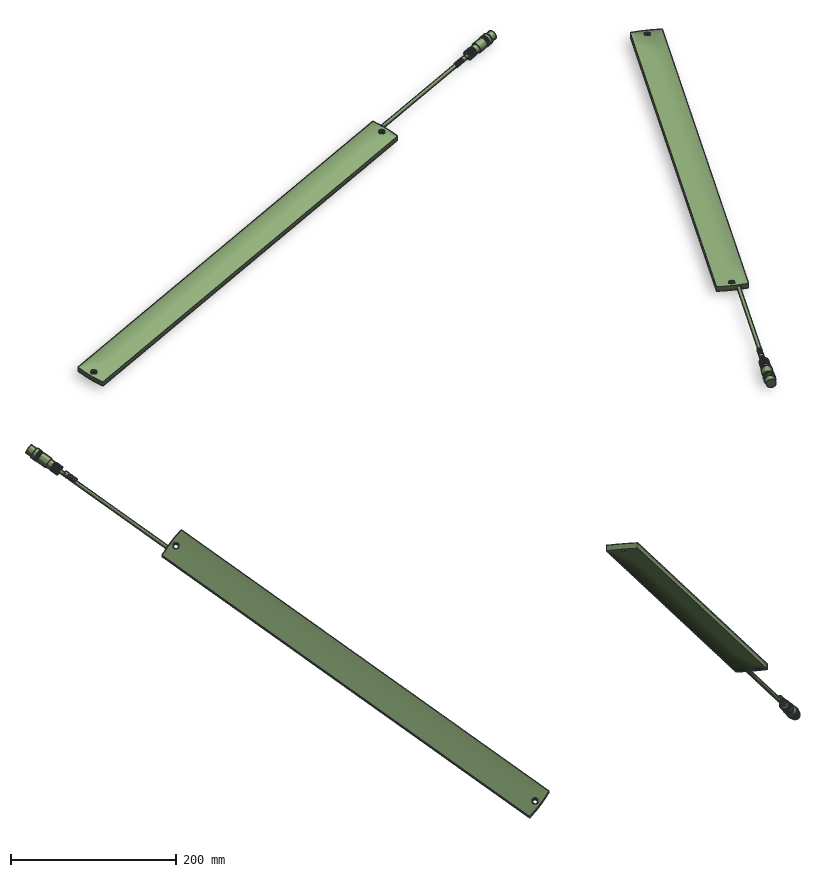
import cadquery as cq

plate_width = 40.0
plate_length = 555.0
plate_thickness = 7.0
corner_radius = 1.0
end_bulge = 1.15
hole_diameter = 6.0
counterbore_diameter = 8.0
counterbore_depth = 3.0
hole_inset = 8.0

overall_length = 763.0
cable_x = -7.25
cable_z = -0.4
cable_diameter = 4.5
joint_overlap = 8.0
rear_y = plate_length / 2
tip_y = overall_length - plate_length / 2

sleeve_diameter = 6.0
sleeve_core_diameter = 5.0
sleeve_side_shift = 1.15
sleeve_lift = 1.9
sleeve_to_tip = 53.5
sleeve_collar_length = 5.0
sleeve_rib_count = 3
sleeve_rib_pitch = 4.0

connector_sections = [
    (8.5, 12.0),
    (4.5, 14.5),
    (1.15, 12.0),
    (1.5, 14.5),
    (1.5, 11.0),
    (13.0, 14.0),
    (6.0, 11.5),
]
relief_rib_count = 4
relief_rib_pitch = 2.7
relief_diameter = 12.0
relief_core_diameter = 9.0


def rod(diameter, start_y, end_y, x=cable_x, z=cable_z):
    """Cylinder along Y between two stations."""
    plane = cq.Plane(origin=(x, start_y, z), xDir=(1, 0, 0), normal=(0, 1, 0))
    return cq.Workplane(plane).circle(diameter / 2).extrude(end_y - start_y)


def ribbed_rod(core_diameter, rib_diameter, rib_count, rib_pitch, end_y, x=cable_x, z=cable_z):
    """Core rod that runs from end_y towards -Y, with a rib at the -Y half of every pitch."""
    body = rod(core_diameter, end_y - rib_count * rib_pitch, end_y, x, z)
    for index in range(rib_count):
        rib_y = end_y - (index + 1) * rib_pitch
        body = body.union(rod(rib_diameter, rib_y, rib_y + rib_pitch / 2, x, z))
    return body


def make_plate():
    half_width = plate_width / 2
    half_length = plate_length / 2
    corner_y = half_length - end_bulge
    hole_y = half_length - hole_inset
    return (
        cq.Workplane("XY", origin=(0, 0, -plate_thickness / 2))
        .moveTo(-half_width, -corner_y)
        .threePointArc((0, -half_length), (half_width, -corner_y))
        .lineTo(half_width, corner_y)
        .threePointArc((0, half_length), (-half_width, corner_y))
        .close()
        .extrude(plate_thickness)
        .edges("|Z").fillet(corner_radius)
        .faces(">Z").workplane(origin=(0, 0, 0))
        .pushPoints([(0, hole_y), (0, -hole_y)])
        .cboreHole(hole_diameter, counterbore_diameter, counterbore_depth)
    )


def make_connector():
    section_end = tip_y
    connector = rod(cable_diameter, tip_y - joint_overlap, tip_y)
    for length, diameter in connector_sections:
        connector = connector.union(rod(diameter, section_end - length, section_end))
        section_end -= length
    relief = ribbed_rod(
        relief_core_diameter, relief_diameter, relief_rib_count, relief_rib_pitch, section_end
    )
    return connector.union(relief)


def make_sleeve():
    sleeve_x = cable_x + sleeve_side_shift
    sleeve_z = cable_z + sleeve_lift
    sleeve_end = tip_y - sleeve_to_tip
    collar_start = sleeve_end - sleeve_collar_length
    collar = rod(sleeve_diameter, collar_start, sleeve_end, sleeve_x, sleeve_z)
    ribs = ribbed_rod(
        sleeve_core_diameter, sleeve_diameter, sleeve_rib_count, sleeve_rib_pitch,
        collar_start, sleeve_x, sleeve_z,
    )
    return collar.union(ribs)


cable = rod(cable_diameter, rear_y - joint_overlap, tip_y - joint_overlap)
result = make_plate().union(cable).union(make_sleeve()).union(make_connector())